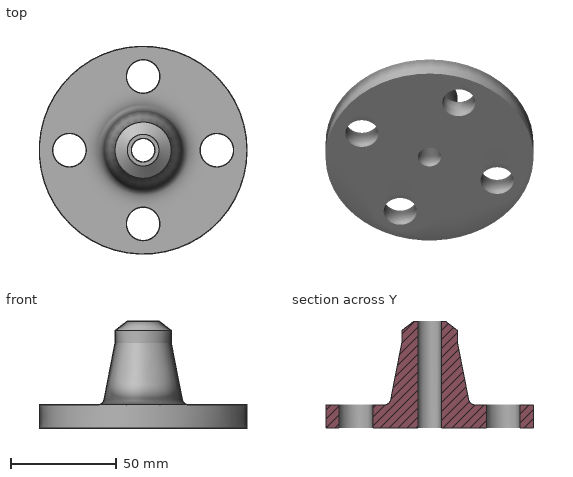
import cadquery as cq
import math

flange_diameter = 98.55
flange_thickness = 11.2

bolt_count = 4
bolt_circle_diameter = 69.85
bolt_hole_diameter = 15.75

total_height = 50.8
hub_base_diameter = 38.1
neck_diameter = 26.67
neck_length = 10.4
hub_fillet_radius = 3.0

bore_diameter = 11.02
land_width = 2.0
bevel_angle = 37.5


def make_flange():
    return cq.Workplane("XY").circle(flange_diameter / 2).extrude(flange_thickness)


def make_hub():
    """Tapered hub, straight neck and weld bevel turned about Z."""
    neck_radius = neck_diameter / 2
    land_radius = bore_diameter / 2 + land_width
    bevel_height = (neck_radius - land_radius) * math.tan(math.radians(bevel_angle))
    return (
        cq.Workplane("XZ")
        .moveTo(0, flange_thickness)
        .lineTo(hub_base_diameter / 2, flange_thickness)
        .lineTo(neck_radius, total_height - neck_length)
        .lineTo(neck_radius, total_height - bevel_height)
        .lineTo(land_radius, total_height)
        .lineTo(0, total_height)
        .close()
        .revolve(360, (0, 0, 0), (0, 1, 0))
    )


def fillet_hub_base(body):
    """Round the inside corner where the hub meets the flange face."""
    half_reach = (flange_diameter + hub_base_diameter) / 4
    margin = hub_fillet_radius / 2
    hub_corner = cq.selectors.BoxSelector(
        (-half_reach, -half_reach, flange_thickness - margin),
        (half_reach, half_reach, flange_thickness + margin),
        boundingbox=True,
    )
    return body.edges(hub_corner).fillet(hub_fillet_radius)


def cut_bore(body):
    bore = cq.Workplane("XY").circle(bore_diameter / 2).extrude(total_height)
    return body.cut(bore)


def cut_bolt_holes(body):
    holes = (
        cq.Workplane("XY")
        .polarArray(bolt_circle_diameter / 2, 0, 360, bolt_count)
        .circle(bolt_hole_diameter / 2)
        .extrude(flange_thickness)
    )
    return body.cut(holes)


body = make_flange().union(make_hub())
body = fillet_hub_base(body)
body = cut_bore(body)
result = cut_bolt_holes(body)